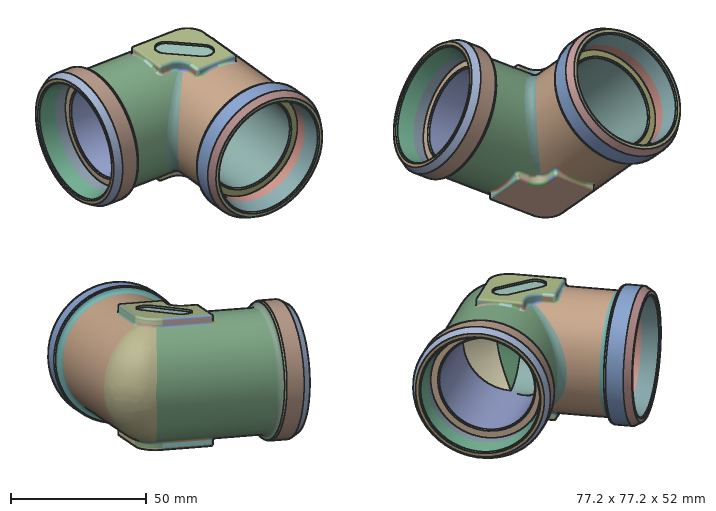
import cadquery as cq
import math

arm_radius = 23.5
arm_end = 51.25
outer_corner_radius = 15.0
crotch_radius = 3.0

collar_radius = 26.0
collar_start = 41.7
collar_shoulder_radius = 25.6
neck_radius = collar_shoulder_radius - arm_radius
neck_start = 38.8
collar_chamfer_radius = 24.35
collar_chamfer_angle = 30.0
collar_chamfer_length = (collar_radius - collar_chamfer_radius) / math.tan(math.radians(collar_chamfer_angle))

bore_radius = 18.0
bore_edge_chamfer = 0.5
drill_point_angle = 118.0
drill_point_length = bore_radius / math.tan(math.radians(drill_point_angle / 2))
socket_radius = 42.34 / 2
seat_position = 40.0
cone_mouth_radius = 22.5
cone_half_angle = 12.0
cone_length = (cone_mouth_radius - socket_radius) / math.tan(math.radians(cone_half_angle))
mouth_chamfer = 0.5

pad_height = 25.0
pad_half_width = 9.0
pad_reach = 19.0
pad_outer_radius = 8.0
pad_notch_radius = 5.0
pad_end_radius = 1.0
pad_edge_radius = 1.0
pad_root_radius = 1.0

slot_centre = (4.2, -4.2)
slot_width = 8.25
slot_length = 13.8 + slot_width
slot_depth = 0.8
slot_angle = 45.0

trim_height = 22.5
trim_width = 16.5


def along_both_arms(x_arm):
    """Join a body of revolution on the X arm with its copy turned onto the -Y arm."""
    y_arm = x_arm.rotate((0, 0, 0), (0, 0, 1), -90)
    y_arm = y_arm.mirror("YZ")
    return x_arm.union(y_arm)


def edge_nearest(x, y, z):
    """Selector for the single edge whose centre lies closest to a point."""
    return cq.selectors.NearestToPointSelector((x, y, z))


def arm_exterior():
    """Arm running out from the elbow corner, with its neck fillet and chamfered collar."""
    arc_middle = neck_radius * math.sqrt(0.5)
    neck_middle = (neck_start + arc_middle, collar_shoulder_radius - arc_middle)
    profile = (
        cq.Workplane("XY")
        .moveTo(-arm_radius, 0)
        .lineTo(-arm_radius, arm_radius)
        .lineTo(neck_start, arm_radius)
        .threePointArc(neck_middle, (neck_start + neck_radius, collar_shoulder_radius))
        .lineTo(collar_start, collar_radius)
        .lineTo(arm_end - collar_chamfer_length, collar_radius)
        .lineTo(arm_end, collar_chamfer_radius)
        .lineTo(arm_end, 0)
        .close()
    )
    arm = profile.revolve(360, (0, 0, 0), (1, 0, 0))
    return arm.rotate((0, 0, 0), (1, 0, 0), 90)


def elbow_body():
    """Two arms mitred on the plane X = -Y, with the outer and inner mitre edges rounded."""
    mitre_side = [(-arm_end, arm_end), (arm_end, arm_end), (arm_end, -arm_end)]
    wedge = cq.Workplane("XY").polyline(mitre_side).close().extrude(collar_radius, both=True)
    elbow = along_both_arms(arm_exterior().intersect(wedge))
    for side in (1, -1):
        recess = cq.Workplane("XY").workplane(offset=side * trim_height)
        elbow = elbow.cut(recess.rect(trim_width, trim_width).extrude(side * arm_radius))
    elbow = elbow.edges(edge_nearest(-arm_radius, arm_radius, 0)).fillet(outer_corner_radius)
    return elbow.edges(edge_nearest(arm_radius, -arm_radius, 0)).fillet(crotch_radius)


def arm_interior():
    """Drilled bore with its conical drill point, the tube seat and the sealing cone."""
    cone_start = arm_end - mouth_chamfer
    points = [
        (-drill_point_length, 0),
        (0, bore_radius),
        (seat_position - bore_edge_chamfer, bore_radius),
        (seat_position, bore_radius + bore_edge_chamfer),
        (seat_position, socket_radius),
        (cone_start - cone_length, socket_radius),
        (cone_start, cone_mouth_radius),
        (arm_end, cone_mouth_radius + mouth_chamfer),
        (arm_end, 0),
    ]
    return cq.Workplane("XY").polyline(points).close().revolve(360, (0, 0, 0), (1, 0, 0))


def pads():
    """L-shaped block through the elbow whose two ends stand proud as the pads."""
    outline = [
        (-pad_half_width, pad_half_width),
        (pad_reach, pad_half_width),
        (pad_reach, -pad_half_width),
        (pad_half_width, -pad_half_width),
        (pad_half_width, -pad_reach),
        (-pad_half_width, -pad_reach),
    ]
    block = cq.Workplane("XY").polyline(outline).close().extrude(pad_height, both=True)
    block = block.edges(edge_nearest(-pad_half_width, pad_half_width, 0)).fillet(pad_outer_radius)
    block = block.edges(edge_nearest(pad_half_width, -pad_half_width, 0)).fillet(pad_notch_radius)
    for x, y in [outline[1], outline[2], outline[4], outline[5]]:
        block = block.edges(edge_nearest(x, y, 0)).fillet(pad_end_radius)
    return block.faces("<Z or >Z").edges().fillet(pad_edge_radius)


def round_pad_roots(elbow):
    """Fillet the edges where the pad walls meet the round body, on the top and the bottom."""
    margin = 0.01
    wall_top = pad_height - pad_edge_radius - margin
    near = pad_half_width + margin
    far = pad_reach + margin
    for side in (1, -1):
        pad_zone = cq.selectors.BoxSelector((-near, -far, 0), (far, near, side * wall_top), boundingbox=True)
        elbow = elbow.edges(pad_zone).fillet(pad_root_radius)
    return elbow


def pad_slot():
    """Cutter for the shallow recess in the top pad."""
    plane = cq.Workplane("XY").workplane(offset=pad_height - slot_depth)
    return plane.center(*slot_centre).slot2D(slot_length, slot_width, slot_angle).extrude(slot_depth)


shape = round_pad_roots(elbow_body().union(pads()))
result = shape.cut(along_both_arms(arm_interior())).cut(pad_slot())